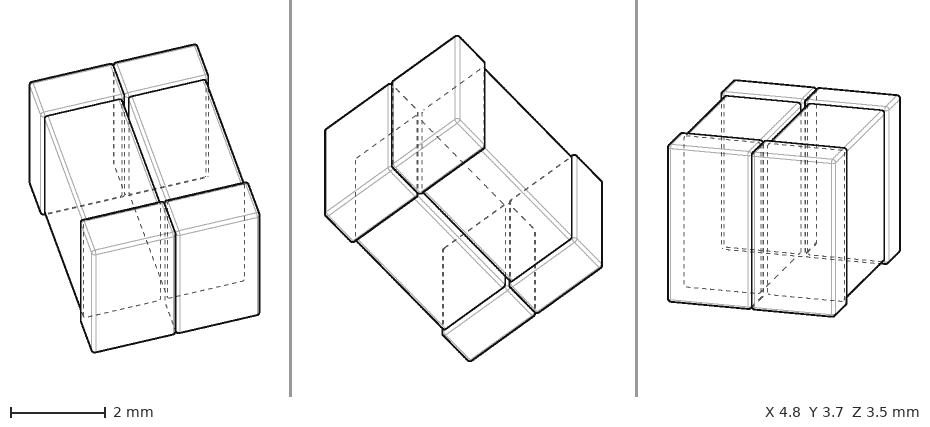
import cadquery as cq

length = 4.8
depth = 3.7
height = 3.5

terminal_length = 0.95
terminal_round = 0.07
cap_depth = depth / 2
terminal_offset = (length - terminal_length) / 2

chip_inset = 0.07
chip_round = 0.07
chip_length = length - 2 * terminal_length
chip_depth = cap_depth - 2 * chip_inset
chip_height = height - 2 * chip_inset
chip_offset = cap_depth / 2


def make_cap(y):
    """One end cap, rounded on all edges and centred at y."""
    return (
        cq.Workplane("XY")
        .box(terminal_length, cap_depth, height)
        .edges()
        .fillet(terminal_round)
        .translate((0, y, 0))
    )


def make_terminal(x):
    """Two caps joined on their touching faces into one solid, centred at x."""
    terminal = make_cap(-chip_offset).union(make_cap(chip_offset))
    return terminal.translate((x, 0, 0))


def make_chip(y):
    """Chip body that butts against the inner faces of both terminals, centred at y."""
    return (
        cq.Workplane("XY")
        .box(chip_length, chip_depth, chip_height)
        .edges("|X")
        .fillet(chip_round)
        .translate((0, y, 0))
    )


terminals = [make_terminal(side * terminal_offset) for side in (-1, 1)]
chips = [make_chip(side * chip_offset) for side in (-1, 1)]

result = cq.Compound.makeCompound([body.solids().val() for body in terminals + chips])